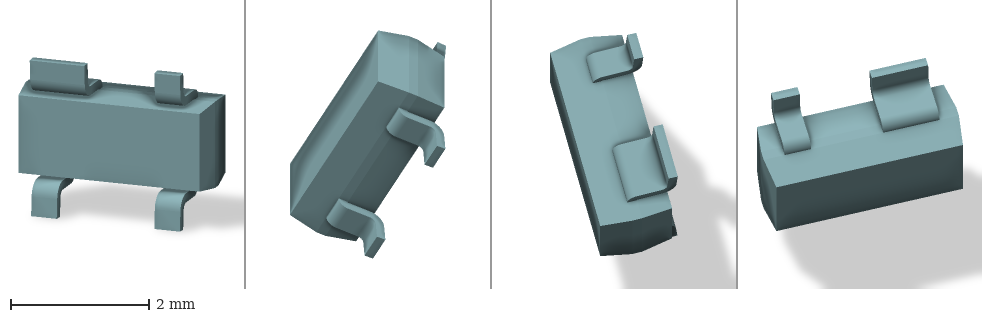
import cadquery as cq
import math

housing_length = 2.92
housing_height = 1.296
band_depth = 0.145
taper_depth = 0.465
taper_inset = 0.065

lead_span = 2.36
lead_reach = 0.755
lead_thickness = 0.137
root_inner_radius = 0.015
foot_inner_radius = 0.093
foot_tilt = math.radians(4.0)

narrow_width = 0.395
wide_width = 0.84
narrow_offset = 0.95
wide_offset = 0.748

lead_places = [
    (-wide_offset, wide_width, 1),
    (narrow_offset, narrow_width, 1),
    (-narrow_offset, narrow_width, -1),
    (narrow_offset, narrow_width, -1),
]


def make_taper(start_y, end_y):
    """Tapered block, full size at start_y and smaller at end_y."""
    return (
        cq.Workplane("XZ", origin=(0, start_y, 0))
        .rect(housing_length, housing_height)
        .workplane(offset=start_y - end_y)
        .rect(housing_length - 2 * taper_inset, housing_height - 2 * taper_inset)
        .loft(ruled=True)
    )


def make_housing():
    band = cq.Workplane("XZ").rect(housing_length, housing_height).extrude(band_depth)
    back = make_taper(0, taper_depth)
    front = make_taper(-band_depth, -band_depth - taper_depth)
    return band.union(back).union(front)


def make_lead(center_x, width, side):
    """Gull-wing lead that leaves the housing, runs forward and turns outward to a tilted foot."""
    root_outer_radius = root_inner_radius + lead_thickness
    foot_outer_radius = foot_inner_radius + lead_thickness

    root_z = housing_height / 2
    under_z = root_z + root_inner_radius
    over_z = root_z + root_outer_radius
    foot_center_z = under_z + foot_outer_radius

    across = (-math.cos(foot_tilt), -math.sin(foot_tilt))
    along = (-math.sin(foot_tilt), math.cos(foot_tilt))

    outer_corner_z = lead_span / 2 + lead_thickness * across[1]
    foot_length = (outer_corner_z - foot_center_z - foot_outer_radius * across[1]) / along[1]
    foot_center_y = -lead_reach - foot_outer_radius * across[0] - foot_length * along[0]

    def foot_point(radius, distance):
        return (
            foot_center_y + radius * across[0] + distance * along[0],
            foot_center_z + radius * across[1] + distance * along[1],
        )

    def foot_bend_middle(radius):
        half_turn = (math.pi / 2 - foot_tilt) / 2
        return (
            foot_center_y - radius * math.sin(half_turn),
            foot_center_z - radius * math.cos(half_turn),
        )

    def root_bend_middle(radius):
        return (
            -root_outer_radius + radius * math.sqrt(0.5),
            root_z + radius * math.sqrt(0.5),
        )

    profile = (
        cq.Workplane("YZ", origin=(center_x, 0, 0))
        .moveTo(0, root_z)
        .threePointArc(root_bend_middle(root_outer_radius), (-root_outer_radius, over_z))
        .lineTo(foot_center_y, over_z)
        .threePointArc(foot_bend_middle(foot_inner_radius), foot_point(foot_inner_radius, 0))
        .lineTo(*foot_point(foot_inner_radius, foot_length))
        .lineTo(*foot_point(foot_outer_radius, foot_length))
        .lineTo(*foot_point(foot_outer_radius, 0))
        .threePointArc(foot_bend_middle(foot_outer_radius), (foot_center_y, under_z))
        .lineTo(-root_outer_radius, under_z)
        .threePointArc(root_bend_middle(root_inner_radius), (-lead_thickness, root_z))
        .close()
    )
    lead = profile.extrude(width / 2, both=True)
    if side < 0:
        lead = lead.mirror("XY")
    return lead


housing = make_housing()
leads = [make_lead(center_x, width, side) for center_x, width, side in lead_places]

result = cq.Compound.makeCompound([housing.val(), *[lead.val() for lead in leads]])